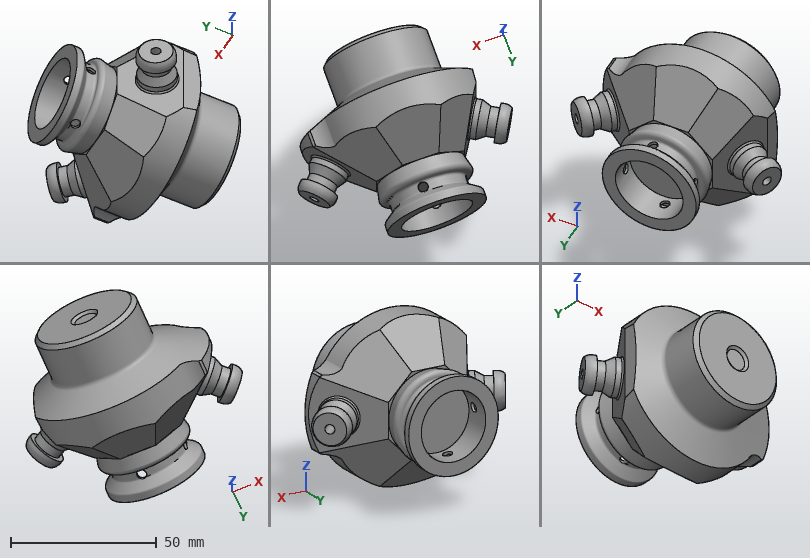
import cadquery as cq
import math

total_length = 64.0

shank_radius = 19.0
shank_chamfer = 1.5
neck_start = 15.7
neck_radius_end = 20.1
neck_end = 17.4
neck_fillet = 1.9
recess_floor_diameter = 8.0
recess_mouth_diameter = 10.0

head_radius = 31.0
lobe_radius = 36.05
cone_rise = 22.6 - neck_end
cone_slope = cone_rise / (head_radius - neck_radius_end)
lobe_start = neck_end + cone_slope * (lobe_radius - neck_radius_end)
head_end = 47.4
lobe_half_width = 14.5
scallop_radius = 8.6
scallop_center_x = 31.8
scallop_mid_angle = -110.0
lobe_corner_x = 32.25
lobe_corner_chamfer = 1.1

facet_count = 8
facet_apothem = 16.1
facet_tilt = 45.0
steep_apothem = 15.9
steep_tilt = 30.0
flat_distance = 27.3
flat_start = 27.65
flat_tilt = 5.0

collar_base_radius = 15.9
collar_radius = 17.1
collar_shoulder = 54.3
collar_round = 1.8
groove_radius = 14.0
groove_fillet = 0.9
groove_end = 57.8
rim_fillet = 0.8
rim_radius = 18.1
rim_start = 60.9
rim_round = 0.8
rim_cone_tilt = 52.0
bore_diameter = 26.0
bore_depth = 11.1
vent_diameter = 3.5
vent_count = 4
vent_y = 56.4
vent_offset_angle = 10.0

pin_height = 13.2
pin_radius = 14.0 / 2
pin_foot_radius = 7.5
pin_foot_height = 0.6
pin_cone_start = 2.7
pin_neck_start = 5.95
pin_neck_radius = 10.5 / 2
pin_head_start = 9.2
pin_crown_start = 10.5
pin_face_radius = 5.95
pin_crown_mid = (6.7, 12.05)
pin_hole_diameter = 3.5
pin_hole_depth = 9.5
pin_root = 1.6
right_pin_x = 28.45
left_pin_x = -22.8

cutter_size = 158.5


def revolve_about_y(profile):
    return profile.close().revolve(360, (0, 0, 0), (0, 1, 0))


def y_cylinder(diameter, start, end):
    plane = cq.Plane(origin=(0, start, 0), xDir=(1, 0, 0), normal=(0, 1, 0))
    return cq.Workplane(plane).circle(diameter / 2).extrude(end - start)


def make_shank():
    profile = (
        cq.Workplane("XY")
        .lineTo(shank_radius - shank_chamfer, 0)
        .lineTo(shank_radius, shank_chamfer)
        .lineTo(shank_radius, neck_start)
        .radiusArc((neck_radius_end, neck_end), neck_fillet)
        .lineTo(0, neck_end)
    )
    return revolve_about_y(profile)


def make_head_outline():
    """Prism of the round head with its side lobe on +X."""
    center_z = lobe_half_width + scallop_radius
    center_distance = math.hypot(scallop_center_x, center_z)
    along = (center_distance**2 + head_radius**2 - scallop_radius**2) / (2 * center_distance)
    start_angle = math.atan2(center_z, scallop_center_x) - math.acos(along / head_radius)
    start = (head_radius * math.cos(start_angle), head_radius * math.sin(start_angle))
    mid_angle = math.radians(scallop_mid_angle)
    mid = (
        scallop_center_x + scallop_radius * math.cos(mid_angle),
        center_z + scallop_radius * math.sin(mid_angle),
    )
    tip_z = lobe_half_width - lobe_corner_chamfer / 2
    tip_x = math.sqrt(lobe_radius**2 - tip_z**2)
    outline = (
        cq.Workplane(cq.Plane(origin=(0, 0, 0), xDir=(1, 0, 0), normal=(0, -1, 0)))
        .moveTo(*start)
        .threePointArc(mid, (scallop_center_x, lobe_half_width))
        .lineTo(lobe_corner_x, lobe_half_width)
        .lineTo(tip_x, tip_z)
        .threePointArc((lobe_radius, 0), (tip_x, -tip_z))
        .lineTo(lobe_corner_x, -lobe_half_width)
        .lineTo(scallop_center_x, -lobe_half_width)
        .threePointArc((mid[0], -mid[1]), (start[0], -start[1]))
        .threePointArc((-head_radius, 0), start)
        .close()
    )
    return outline.extrude(-head_end)


def facet_cutter(distance, y, tilt, turn):
    """Block outside a plane that leans from the Y axis by tilt, turned about Y from +X."""
    lean = math.radians(tilt)
    plane = cq.Plane(
        origin=(distance, y, 0), xDir=(0, 0, 1), normal=(math.cos(lean), math.sin(lean), 0)
    )
    block = cq.Workplane(plane).rect(cutter_size, cutter_size).extrude(cutter_size)
    return block.rotate((0, 0, 0), (0, 1, 0), turn)


def make_head():
    profile = (
        cq.Workplane("XY")
        .moveTo(0, neck_end)
        .lineTo(neck_radius_end, neck_end)
        .lineTo(lobe_radius, lobe_start)
        .lineTo(lobe_radius, head_end)
        .lineTo(0, head_end)
    )
    head = revolve_about_y(profile).intersect(make_head_outline())
    step = 360 / facet_count
    steep_index = facet_count // 2
    for index in range(facet_count):
        if index != steep_index:
            head = head.cut(facet_cutter(facet_apothem, head_end, facet_tilt, index * step))
    head = head.cut(facet_cutter(steep_apothem, head_end, steep_tilt, 180))
    return head.cut(facet_cutter(flat_distance, flat_start, flat_tilt, 180))


def make_collar():
    lean = math.radians(rim_cone_tilt)
    rim_fillet_rise = rim_fillet * (1 - math.cos(lean))
    rim_fillet_length = rim_fillet * math.sin(lean)
    rim_round_drop = rim_round * (1 - math.cos(lean))
    rim_round_length = rim_round * math.sin(lean)
    profile = (
        cq.Workplane("XY")
        .moveTo(0, head_end)
        .lineTo(collar_base_radius, head_end)
        .lineTo(collar_radius, collar_shoulder - collar_round)
        .radiusArc((collar_radius - collar_round, collar_shoulder), -collar_round)
        .lineTo(groove_radius + groove_fillet, collar_shoulder)
        .radiusArc((groove_radius, collar_shoulder + groove_fillet), groove_fillet)
        .lineTo(groove_radius, groove_end)
        .radiusArc((groove_radius + rim_fillet_rise, groove_end + rim_fillet_length), rim_fillet)
        .lineTo(rim_radius - rim_round_drop, rim_start)
        .radiusArc((rim_radius, rim_start + rim_round_length), -rim_round)
        .lineTo(rim_radius, total_length)
        .lineTo(0, total_length)
    )
    return revolve_about_y(profile)


def make_vent(turn):
    vent = cq.Workplane("XY").center(0, vent_y).circle(vent_diameter / 2).extrude(rim_radius)
    return vent.rotate((0, 0, 0), (0, 1, 0), turn)


def place_pin(shape, facet_x, apothem, tilt, side):
    """Stand a shape built along +Y on a facet; side is +1 for +X and -1 for -X."""
    facet_y = head_end - (abs(facet_x) - apothem) / math.tan(math.radians(tilt))
    turned = shape.rotate((0, 0, 0), (0, 0, 1), -side * (90 - tilt))
    return turned.translate((facet_x, facet_y, 0))


def make_pin():
    profile = (
        cq.Workplane("XY")
        .moveTo(0, -pin_root)
        .lineTo(pin_foot_radius, -pin_root)
        .lineTo(pin_foot_radius, 0)
        .lineTo(pin_radius, pin_foot_height)
        .lineTo(pin_radius, pin_cone_start)
        .lineTo(pin_neck_radius, pin_neck_start)
        .lineTo(pin_neck_radius, pin_head_start)
        .lineTo(pin_radius, pin_head_start)
        .lineTo(pin_radius, pin_crown_start)
        .threePointArc(pin_crown_mid, (pin_face_radius, pin_height))
        .lineTo(0, pin_height)
    )
    pin = revolve_about_y(profile)
    return pin.cut(y_cylinder(pin_hole_diameter, pin_height - pin_hole_depth, pin_height))


def make_center_recess():
    """Shallow flat-bottomed recess with 45 degree walls in the shank face."""
    depth = (recess_mouth_diameter - recess_floor_diameter) / 2
    profile = (
        cq.Workplane("XY")
        .lineTo(recess_mouth_diameter / 2, 0)
        .lineTo(recess_floor_diameter / 2, depth)
        .lineTo(0, depth)
    )
    return revolve_about_y(profile)


result = make_shank().union(make_head()).union(make_collar())
result = result.cut(make_center_recess())
result = result.cut(y_cylinder(bore_diameter, total_length - bore_depth, total_length))
for index in range(vent_count):
    result = result.cut(make_vent(vent_offset_angle + index * 360 / vent_count))

result = result.union(place_pin(make_pin(), right_pin_x, facet_apothem, facet_tilt, 1))
result = result.union(place_pin(make_pin(), left_pin_x, steep_apothem, steep_tilt, -1))